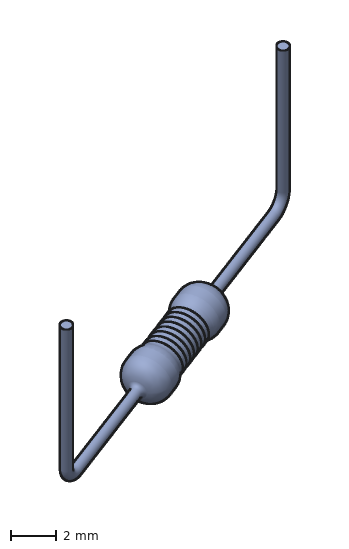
import cadquery as cq
import math

wire_radius = 0.3
lead_pitch = 20.0
bend_radius = 0.9
lead_top = 9.85

cap_radius = 1.25
cap_round_radius = 0.9
cap_end = 3.4
cap_inner_edge = 1.93
core_radius = 2.12 / 2
core_half_length = 1.2

band_radius = 2.15 / 2
band_count = 4
band_width = 2 * core_half_length / (2 * band_count - 1)

neck_radius = 0.25


def make_wire():
    """One round wire: up one lead, along the body axis and up the other lead."""
    lead_y = lead_pitch / 2
    bend_start = lead_y - bend_radius
    bend_mid_y = bend_start + bend_radius * math.sin(math.pi / 4)
    bend_mid_z = bend_radius * (1 - math.cos(math.pi / 4))
    path = (
        cq.Workplane("YZ")
        .moveTo(-lead_y, lead_top)
        .lineTo(-lead_y, bend_radius)
        .threePointArc((-bend_mid_y, bend_mid_z), (-bend_start, 0))
        .lineTo(bend_start, 0)
        .threePointArc((bend_mid_y, bend_mid_z), (lead_y, bend_radius))
        .lineTo(lead_y, lead_top)
    )
    profile = cq.Workplane("XY", origin=(0, -lead_y, lead_top)).circle(wire_radius)
    return profile.sweep(path)


def point_toward(start, end, distance):
    """Point at the given distance from start, on the ray toward end."""
    span = math.dist(start, end)
    return tuple(s + (e - s) * distance / span for s, e in zip(start, end))


def midpoint(a, b):
    """Point halfway between a and b."""
    return tuple((p + q) / 2 for p, q in zip(a, b))


def make_cap():
    """Revolved +Y end of the body: blend up from the core, round cap and neck."""
    core_edge = (core_radius, core_half_length)
    cap_edge = (cap_radius, cap_inner_edge)

    rise = (cap_radius - core_radius) / 2
    run = (cap_inner_edge - core_half_length) / 2
    blend_radius = (rise**2 + run**2) / (2 * rise)
    blend_mid = (core_radius + rise, core_half_length + run)
    blend_core_center = (core_radius + blend_radius, core_half_length)
    blend_cap_center = (cap_radius - blend_radius, cap_inner_edge)
    core_chord_mid = midpoint(core_edge, blend_mid)
    cap_chord_mid = midpoint(blend_mid, cap_edge)
    blend_core_mid = point_toward(blend_core_center, core_chord_mid, blend_radius)
    blend_cap_mid = point_toward(blend_cap_center, cap_chord_mid, blend_radius)

    round_center = (cap_radius - cap_round_radius, cap_end - cap_round_radius)
    round_start = (cap_radius, round_center[1])
    neck_center_radius = wire_radius + neck_radius
    center_offset = neck_center_radius - round_center[0]
    center_distance = cap_round_radius + neck_radius
    neck_end_y = round_center[1] + math.sqrt(center_distance**2 - center_offset**2)
    neck_center = (neck_center_radius, neck_end_y)
    neck_start = point_toward(round_center, neck_center, cap_round_radius)
    neck_end = (wire_radius, neck_end_y)
    round_chord_mid = midpoint(round_start, neck_start)
    neck_chord_mid = midpoint(neck_start, neck_end)
    round_mid = point_toward(round_center, round_chord_mid, cap_round_radius)
    neck_mid = point_toward(neck_center, neck_chord_mid, neck_radius)

    return (
        cq.Workplane("XY")
        .moveTo(0, core_half_length)
        .lineTo(*core_edge)
        .threePointArc(blend_core_mid, blend_mid)
        .threePointArc(blend_cap_mid, cap_edge)
        .lineTo(*round_start)
        .threePointArc(round_mid, neck_start)
        .threePointArc(neck_mid, neck_end)
        .lineTo(0, neck_end_y)
        .close()
        .revolve(360, (0, 0), (0, 1))
    )


def make_cylinder(radius, start, length):
    """Cylinder about the Y axis, running toward +Y from the start position."""
    return cq.Workplane("XZ", origin=(0, start, 0)).circle(radius).extrude(-length)


def make_band(index):
    """One colour band, counted from the -Y end of the core."""
    start = -core_half_length + 2 * index * band_width
    return make_cylinder(band_radius, start, band_width)


cap = make_cap()
result = make_cylinder(core_radius, -core_half_length, 2 * core_half_length)
result = result.union(cap).union(cap.mirror("XZ"))
for band_index in range(band_count):
    result = result.union(make_band(band_index))
result = result.union(make_wire())